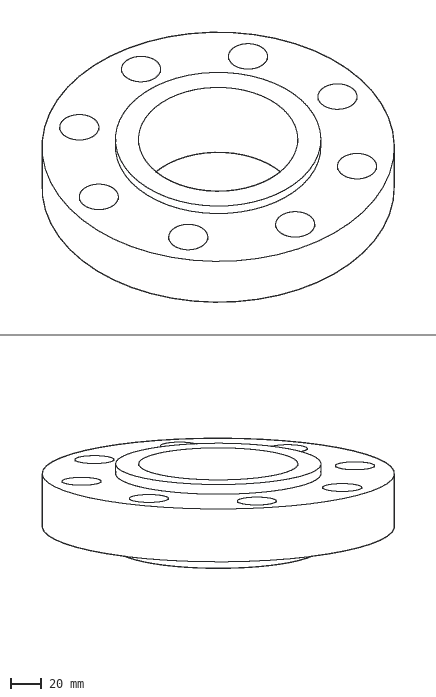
import cadquery as cq

flange_diameter = 228.5
flange_thickness = 35.0

hub_diameter = 133.3
hub_height = 14.2
raised_face_height = 6.5
total_height = hub_height + flange_thickness + raised_face_height

bore_diameter = 103.3
bolt_circle_diameter = 184.3
bolt_hole_diameter = 25.4
bolt_hole_count = 8
first_bolt_angle = 180.0 / bolt_hole_count


def cylinder(diameter, base_z, height):
    """Upright cylinder centred on the flange axis."""
    return cq.Workplane("XY").workplane(offset=base_z).circle(diameter / 2).extrude(height)


def bolt_holes():
    """Ring of cutting cylinders through the flange plate."""
    return (
        cq.Workplane("XY")
        .workplane(offset=hub_height)
        .polarArray(bolt_circle_diameter / 2, first_bolt_angle, 360, bolt_hole_count)
        .circle(bolt_hole_diameter / 2)
        .extrude(flange_thickness)
    )


hub = cylinder(hub_diameter, 0, total_height)
flange = cylinder(flange_diameter, hub_height, flange_thickness)
bore = cylinder(bore_diameter, 0, total_height)

result = flange.union(hub).cut(bore).cut(bolt_holes())